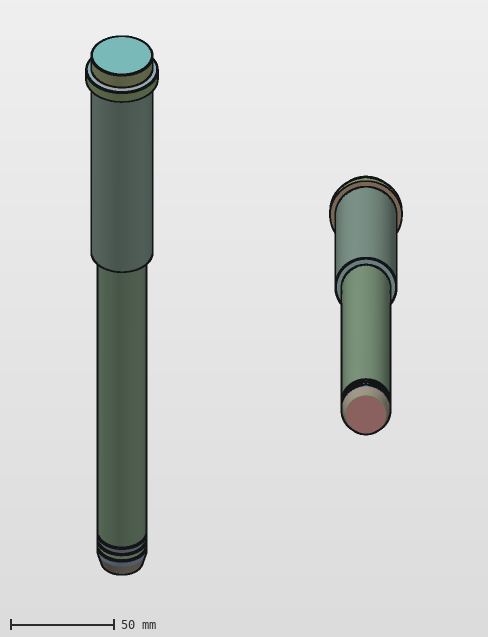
import cadquery as cq

total_length = 320.0
body_length = 125.0
nose_length = 7.0

body_diameter = 30.0
collar_diameter = 35.0
shaft_diameter = 24.0

tip_diameter = 20.25
tip_fillet = 0.5

collar_setback = 9.0
collar_width = 6.0

edge_chamfer = 0.5

relief_width = 1.0
relief_depth = 0.5

groove_radius = 0.5
shaft_groove_count = 3
shaft_groove_pitch = 4.0
first_shaft_groove_height = 10.5

shaft_radius = shaft_diameter / 2
body_radius = body_diameter / 2
collar_radius = collar_diameter / 2
body_bottom = total_length - body_length
collar_top = total_length - collar_setback
collar_bottom = collar_top - collar_width


def add_groove(outline, surface_radius, middle):
    """Continue an outline upward from a groove's lower edge through the half-round groove."""
    return outline.threePointArc(
        (surface_radius - groove_radius, middle),
        (surface_radius, middle + groove_radius),
    )


def revolve_outline(outline):
    """Close an outline along the Z axis and turn it into a solid."""
    return outline.close().revolve(360, (0, 0), (0, 1))


def make_shaft():
    """Shaft with tapered nose, row of grooves and the relief under the body."""
    neck_radius = shaft_radius - relief_depth
    relief_bottom = body_bottom - relief_width
    outline = cq.Workplane("XZ").lineTo(tip_diameter / 2, 0).lineTo(shaft_radius, nose_length)
    for index in range(shaft_groove_count):
        middle = first_shaft_groove_height + index * shaft_groove_pitch
        outline = outline.lineTo(shaft_radius, middle - groove_radius)
        outline = add_groove(outline, shaft_radius, middle)
    outline = (
        outline.lineTo(shaft_radius, relief_bottom)
        .lineTo(neck_radius, relief_bottom)
        .lineTo(neck_radius, body_bottom)
        .lineTo(0, body_bottom)
    )
    return revolve_outline(outline).faces("<Z").edges().fillet(tip_fillet)


def make_body():
    """Thick upper part with chamfered ends, and the collar between its two grooves."""
    outline = (
        cq.Workplane("XZ")
        .moveTo(0, body_bottom)
        .lineTo(body_radius - edge_chamfer, body_bottom)
        .lineTo(body_radius, body_bottom + edge_chamfer)
        .lineTo(body_radius, collar_bottom - 2 * groove_radius)
    )
    outline = add_groove(outline, body_radius, collar_bottom - groove_radius)
    outline = (
        outline.lineTo(collar_radius, collar_bottom)
        .lineTo(collar_radius, collar_top - edge_chamfer)
        .lineTo(collar_radius - edge_chamfer, collar_top)
        .lineTo(body_radius, collar_top)
    )
    outline = add_groove(outline, body_radius, collar_top + groove_radius)
    outline = (
        outline.lineTo(body_radius, total_length - edge_chamfer)
        .lineTo(body_radius - edge_chamfer, total_length)
        .lineTo(0, total_length)
    )
    return revolve_outline(outline)


result = make_shaft().union(make_body())